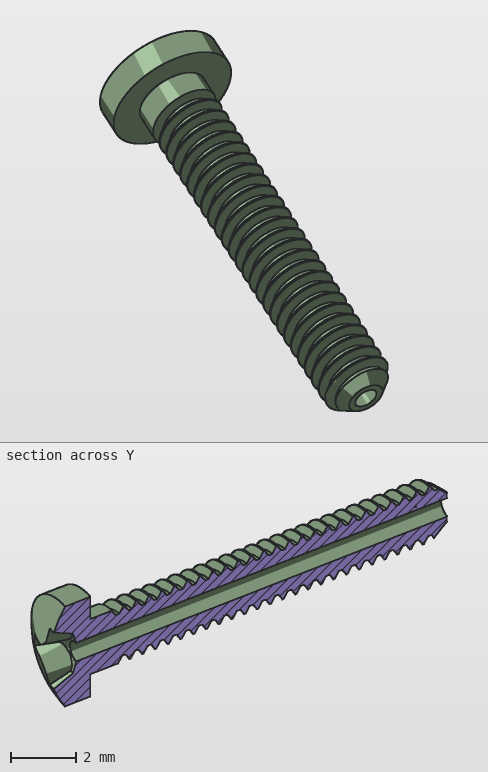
import cadquery as cq
import math

length = 14.14

head_radius = 2.04
head_back = 1.44
crown_edge = 0.54
crown_rise = 0.58

shank_radius = 1.13
tip_radius = 0.58
tip_chamfer = shank_radius - tip_radius
bore_radius = 0.37

groove_count = 24
threaded_run = 10.89
pitch = threaded_run / groove_count
flank_angle = 30.0
sharp_depth = pitch / 2 / math.tan(math.radians(flank_angle))
groove_depth = 5 / 8 * sharp_depth
groove_floor = pitch / 4
groove_clearance = 0.01
root_radius = shank_radius - groove_depth
thread_start = 2.35
thread_turns = 27
start_angle = 45.0
runout_radius = 1.27
runout_turns = 0.3

recess_top = -0.14
recess_depth = 1.13
arm_count = 4
arm_half_width = 0.25
arm_half_length = 1.2
arm_root = 0.66
corner_offset = 0.41
side_taper = 9.0
end_taper = 26.5
floor_rim_depth = 0.82
floor_rim_radius = 0.79
floor_slope = 14.3


def make_blank():
    """Head, shank and chamfered tip as one turned body with a bore through it."""
    dome_radius = (head_radius**2 + crown_rise**2) / (2 * crown_rise)
    apex = crown_edge - crown_rise
    half_sweep = math.asin(head_radius / dome_radius) / 2
    arc_middle = (
        apex + dome_radius * (1 - math.cos(half_sweep)),
        dome_radius * math.sin(half_sweep),
    )
    outline = (
        cq.Workplane("XY")
        .moveTo(apex, 0)
        .threePointArc(arc_middle, (crown_edge, head_radius))
        .lineTo(head_back, head_radius)
        .lineTo(head_back, shank_radius)
        .lineTo(length - tip_chamfer, shank_radius)
        .lineTo(length, tip_radius)
        .lineTo(length, 0)
        .close()
    )
    blank = outline.revolve(360, (0, 0, 0), (1, 0, 0))
    bore = cq.Workplane("YZ", origin=(apex, 0, 0)).circle(bore_radius).extrude(length - apex)
    return blank.cut(bore)


def make_groove():
    """Thread groove with a widening run-out at the head end, built along Z then laid along X."""
    runout_pitch = pitch * runout_radius / root_radius
    runout_rise = runout_pitch * runout_turns
    runout = (
        cq.Wire.makeHelix(runout_pitch, runout_rise, runout_radius)
        .rotate(cq.Vector(0, 0, 0), cq.Vector(0, 0, 1), -360 * runout_turns)
        .translate(cq.Vector(root_radius - runout_radius, 0, -runout_rise))
    )
    one_turn = cq.Wire.makeHelix(pitch, pitch, root_radius)
    path_edges = runout.Edges()
    for turn_number in range(thread_turns):
        path_edges += one_turn.translate(cq.Vector(0, 0, turn_number * pitch)).Edges()
    path = cq.Wire.assembleEdges(path_edges)

    spread = math.tan(math.radians(flank_angle))
    height = groove_depth + groove_clearance
    half_floor = groove_floor / 2
    half_mouth = half_floor + height * spread
    runout_angle = math.radians(-360 * runout_turns)
    radial = cq.Vector(math.cos(runout_angle), math.sin(runout_angle), 0)
    rise_angle = math.atan(pitch / (2 * math.pi * root_radius))
    travel = cq.Vector(
        -math.sin(runout_angle) * math.cos(rise_angle),
        math.cos(runout_angle) * math.cos(rise_angle),
        math.sin(rise_angle),
    )
    profile = cq.Workplane(cq.Plane(path.startPoint(), radial, travel))
    profile = profile.polyline(
        [(0, -half_floor), (height, -half_mouth), (height, half_mouth), (0, half_floor)]
    ).close()
    groove = profile.sweep(cq.Workplane(path), isFrenet=True)
    groove = groove.rotate((0, 0, 0), (0, 0, 1), start_angle)
    groove = groove.rotate((0, 0, 0), (1, 1, 1), 120)
    return groove.translate((thread_start, 0, 0))


def make_recess():
    """Cross recess: tapered four-armed star, closed by sloped arm ends and a conical floor."""
    height = recess_depth - recess_top

    side_growth = -recess_top * math.tan(math.radians(side_taper))
    half_width = arm_half_width + side_growth
    corner = corner_offset + side_growth
    reach = 2 * arm_half_length
    arm = [
        (corner, -corner),
        (arm_root, -half_width),
        (reach, -half_width),
        (reach, half_width),
        (arm_root, half_width),
    ]
    points = []
    for _ in range(arm_count):
        points += arm
        arm = [(-z, y) for y, z in arm]
    open_end = cq.Workplane("YZ", origin=(recess_top, 0, 0))
    star = open_end.polyline(points).close().extrude(height, taper=side_taper)

    end_growth = -recess_top * math.tan(math.radians(end_taper))
    span = 2 * (arm_half_length + end_growth)
    arm_ends = open_end.rect(span, span).extrude(height, taper=end_taper)

    slope = math.tan(math.radians(floor_slope))
    apex_depth = floor_rim_depth + floor_rim_radius * slope
    above_floor = (
        cq.Workplane("XY")
        .moveTo(recess_top, 0)
        .lineTo(apex_depth, 0)
        .lineTo(apex_depth - reach * slope, reach)
        .lineTo(recess_top, reach)
        .close()
        .revolve(360, (0, 0, 0), (1, 0, 0))
    )
    return star.intersect(arm_ends).intersect(above_floor)


result = make_blank().cut(make_recess()).cut(make_groove())